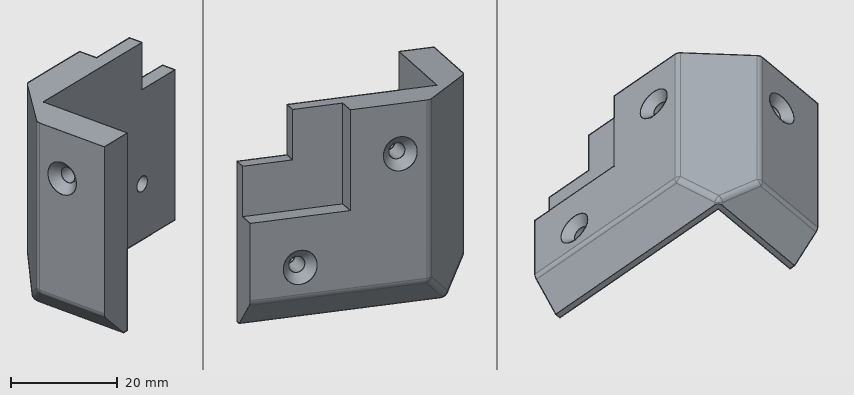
import cadquery as cq

LENGTH_X = 27.0
LENGTH_Y = 47
HEIGHT = 41.9
WALL = 7.0

CORNER_CHAMFER = 11.0
BASE_CHAMFER = 5.85
EDGE_RADIUS = 1.5

PITCH = 10.0
LAP_DEPTH = 4.0

HOLE_DIAMETER = 3.2
SINK_DIAMETER = 6.75

STOCK = 9.4


def box(x, y, z):
    """Box spanning the given (low, high) pairs."""
    return (
        cq.Workplane("XY")
        .box(x[1] - x[0], y[1] - y[0], z[1] - z[0], centered=False)
        .translate((x[0], y[0], z[0]))
    )


def wedge(plane, leg, start, length):
    """Prism removing the 45 degree corner that crosses both axes at leg."""
    near = leg + 2 * STOCK
    return (
        cq.Workplane(plane)
        .polyline([(-near, -near), (leg + near, -near), (-near, leg + near)])
        .close()
        .extrude(length)
        .translate(start)
    )


def rounded_corner():
    """Solid outer corner with its chamfers and rounded edges."""
    stock = box((0, LENGTH_X + STOCK), (0, LENGTH_Y + STOCK), (-STOCK, HEIGHT + STOCK))
    reach = 2 * (LENGTH_Y + STOCK)
    stock = stock.cut(wedge("XY", CORNER_CHAMFER, (0, 0, -reach / 2), reach))
    stock = stock.cut(wedge("XZ", BASE_CHAMFER, (0, reach, 0), 2 * reach))
    stock = stock.cut(wedge("YZ", BASE_CHAMFER, (-reach, 0, 0), 2 * reach))

    toward_corner = cq.selectors.DirectionMinMaxSelector(cq.Vector(1, 1, 0), False)
    corner_edges = stock.faces(toward_corner).edges("not >Z").vals()
    wall_edges = stock.faces("<X or <Y").edges("<Z").vals()
    base_edge = stock.edges(cq.selectors.ParallelDirSelector(cq.Vector(1, 1, -1))).vals()
    stock = stock.newObject(corner_edges + wall_edges + base_edge).fillet(EDGE_RADIUS)
    return stock.intersect(box((0, LENGTH_X), (0, LENGTH_Y), (0, HEIGHT)))


def screw_hole(face, position):
    """Countersunk cutter entering along +X or +Y from an outer face."""
    direction = cq.Vector(1, 0, 0) if face == "X" else cq.Vector(0, 1, 0)
    start = cq.Vector(*position)
    sink_radius = SINK_DIAMETER / 2
    bore = cq.Solid.makeCylinder(HOLE_DIAMETER / 2, WALL, start, direction)
    sink = cq.Solid.makeCone(sink_radius, 0, sink_radius, start, direction)
    return cq.Workplane(obj=bore.fuse(sink))


body = rounded_corner()

body = body.cut(box((WALL, LENGTH_X), (WALL, LENGTH_Y), (0, HEIGHT)))

lap = 2 * PITCH
body = body.cut(box((0, LAP_DEPTH), (LENGTH_Y - lap, LENGTH_Y), (HEIGHT - lap, HEIGHT)))
body = body.cut(box((0, WALL), (LENGTH_Y - PITCH, LENGTH_Y), (HEIGHT - PITCH, HEIGHT)))

body = body.cut(screw_hole("X", (0, LENGTH_Y - PITCH, HEIGHT - 3 * PITCH)))
body = body.cut(screw_hole("X", (0, LENGTH_Y - 3 * PITCH, HEIGHT - PITCH)))
body = body.cut(screw_hole("Y", (LENGTH_X - PITCH, 0, HEIGHT - PITCH)))

result = body